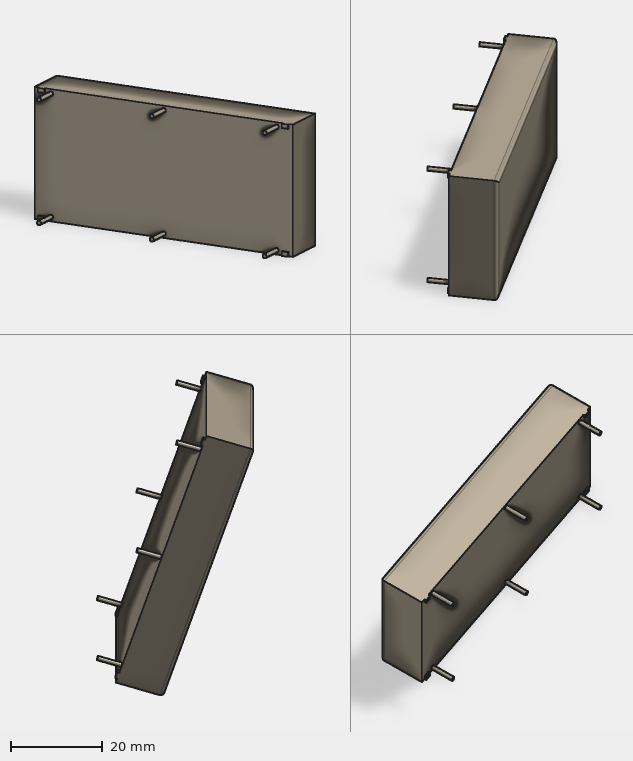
import cadquery as cq

LENGTH = 64.0
HEIGHT = 30.0
DEPTH = 11.0
BACK_FILLET = 0.95

FOOT_LENGTH = 1.55
FOOT_HEIGHT = 1.0
FOOT_THICKNESS = 0.45
FOOT_END_GAP = 1.0

PIN_DIAMETER = 1.0
PIN_REACH = 5.5
PIN_PITCH = 28.0
PIN_ROW_SPACING = 28.0
PIN_COLUMNS = 3
BRIDGE_DEPTH = 2.05
BEND_RADIUS = PIN_DIAMETER


def make_housing():
    """Block with its back edges rounded and four feet on the pin face."""
    block = cq.Workplane("XY").box(LENGTH, DEPTH, HEIGHT, centered=(True, False, True))
    block = block.faces(">Y").edges().fillet(BACK_FILLET)
    foot_spacing_x = LENGTH - 2 * FOOT_END_GAP - FOOT_LENGTH
    foot_spacing_z = HEIGHT - FOOT_HEIGHT
    feet = (
        cq.Workplane("XZ")
        .rect(foot_spacing_x, foot_spacing_z, forConstruction=True)
        .vertices()
        .rect(FOOT_LENGTH, FOOT_HEIGHT)
        .extrude(FOOT_THICKNESS)
    )
    return block.union(feet)


def make_pin_pair(x):
    """One U-shaped wire at the given X; both legs stick out toward -Y."""
    leg_z = PIN_ROW_SPACING / 2
    bend_start = BRIDGE_DEPTH - BEND_RADIUS
    bridge_end = leg_z - BEND_RADIUS
    wire_path = (
        cq.Workplane("YZ", origin=(x, 0, 0))
        .moveTo(-PIN_REACH, -leg_z)
        .lineTo(bend_start, -leg_z)
        .tangentArcPoint((BRIDGE_DEPTH, -bridge_end), relative=False)
        .lineTo(BRIDGE_DEPTH, bridge_end)
        .tangentArcPoint((bend_start, leg_z), relative=False)
        .lineTo(-PIN_REACH, leg_z)
    )
    leg_tip = cq.Workplane("XZ", origin=(x, -PIN_REACH, -leg_z))
    return leg_tip.circle(PIN_DIAMETER / 2).sweep(wire_path)


first_column_x = -PIN_PITCH * (PIN_COLUMNS - 1) / 2
pin_pairs = [make_pin_pair(first_column_x + i * PIN_PITCH) for i in range(PIN_COLUMNS)]

housing = make_housing()
for pin_pair in pin_pairs:
    housing = housing.cut(pin_pair)

housing_solid = housing.solids().val()
result = cq.Compound.makeCompound([housing_solid, *[pin_pair.val() for pin_pair in pin_pairs]])